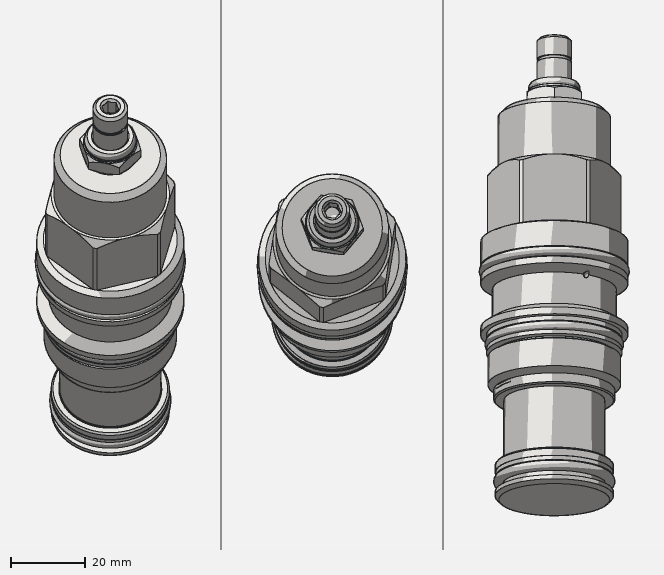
import cadquery as cq
import math


nose_top = 10.1
sleeve_bottom = 27.8
sleeve_top = 40.0
flange_bottom = 46.2
neck_bottom = 50.1
neck_top = 58.9
head_top = 73.1
hex_top = 92.3
cap_top = 109.0
stem_top = 129.4

shank_radius = 13.6
nose_radius = 15.9
nose_chamfer = 1.0
nose_top_chamfer = 0.5
tip_flange_top = 2.2
backup_ring_radius = 15.8
backup_ring_top = 7.6
shank_collar_radius = 13.8
shank_collar_height = 0.4

sleeve_radius = 17.9
sleeve_taper_bottom = 30.7
sleeve_taper_top = 32.2
sleeve_top_radius = 16.7
sleeve_top_taper = 0.5
collar_radius = 16.3
collar_chamfer = 0.4
sleeve_gap_radius = 15.9
sleeve_gap_top = 41.1
notch_width = 7.6
notch_height = 0.9

land_radius = 18.2
flange_radius = 19.8
flange_rim_top = 48.1
neck_radius = 16.7
pin_hole_radius = 0.8
pin_hole_depth = 2.0
pin_hole_z = 58.7
head_rim_bottom = 60.5
head_rim_top = 72.3

hex_flats = 31.7
hex_corner_radius = 18.0
hex_chamfer_radius = 15.9
hex_chamfer_height = 1.5
cap_radius = 15.1
cap_chamfer = 1.7

stem_radius = 4.7
stem_chamfer = 0.8
socket_flats = 4.0
socket_depth = 5.2
socket_mouth_radius = 2.7
drill_point_angle = 118

clip_wire_radius = 0.45
clip_outer_radius = 4.5
clip_center_z = 123.2
clip_gap_y = 2.1

nut_flats = 14.6
nut_lower_chamfer_radius = 7.4
nut_lower_chamfer_height = 0.6
nut_upper_chamfer_radius = 7.2
nut_upper_chamfer_height = 0.9
nut_base_radius = 7.0
nut_hex_bottom = 109.7
nut_hex_top = 114.1
nut_groove_radius = 6.9
nut_groove_height = 0.6
nut_top = 116.8
nut_collar_radius = 7.0
nut_collar_shoulder = 115.2
nut_crown_radius = 6.2
nut_bore_chamfer = 0.4

nose_seal = (16.3, shank_radius, 6.5)
land_seal = (18.6, 16.0, 44.9)
head_seal = (20.2, 17.7, 65.3)
seals = [nose_seal, land_seal, head_seal]

groove_bottoms = [tip_flange_top, 42.3, 62.4]


def turned(points):
    """Solid of revolution about Z from the (radius, z) points of its outer surface, bottom to top."""
    axis_end = (0, points[-1][1])
    axis_start = (0, points[0][1])
    profile = [*points, axis_end] if points[0] == axis_start else [axis_start, *points, axis_end]
    return cq.Workplane("XZ").polyline(profile).close().revolve(360, (0, 0, 0), (0, 1, 0))


def tube(inner_radius, outer_radius, bottom, top):
    return (
        cq.Workplane("XY", origin=(0, 0, bottom))
        .circle(outer_radius)
        .circle(inner_radius)
        .extrude(top - bottom)
    )


def hex_prism(flats, bottom, top, turn=0):
    """Hexagonal prism with corners on the X axis, turned about Z by the given angle."""
    corner_diameter = flats / math.cos(math.pi / 6)
    prism = cq.Workplane("XY", origin=(0, 0, bottom)).polygon(6, corner_diameter).extrude(top - bottom)
    return prism.rotate((0, 0, 0), (0, 0, 1), turn)


def ring(outer_radius, wire_radius, center_z):
    wire_center = outer_radius - wire_radius
    return (
        cq.Workplane("XZ")
        .center(wire_center, center_z)
        .circle(wire_radius)
        .revolve(360, (-wire_center, 0, 0), (-wire_center, 1, 0))
    )


def make_o_ring(seal):
    outer_radius, floor_radius, top = seal
    wire_radius = (outer_radius - floor_radius) / 2
    return ring(outer_radius, wire_radius, top - wire_radius)


def seal_groove(seal, bottom):
    """Groove whose floor and upper wall touch the O-ring."""
    outer_radius, floor_radius, top = seal
    return tube(floor_radius, outer_radius, bottom, top)


def make_nose():
    nose_seal_top = nose_seal[2]
    return turned([
        (nose_radius - nose_chamfer, 0),
        (nose_radius, nose_chamfer),
        (nose_radius, nose_seal_top),
        (backup_ring_radius, nose_seal_top),
        (backup_ring_radius, backup_ring_top),
        (nose_radius, backup_ring_top),
        (nose_radius, nose_top - nose_top_chamfer),
        (nose_radius - nose_top_chamfer, nose_top),
        (shank_collar_radius, nose_top),
        (shank_collar_radius, nose_top + shank_collar_height),
        (shank_radius, nose_top + shank_collar_height),
        (shank_radius, sleeve_bottom),
    ])


def make_sleeve():
    sleeve = turned([
        (collar_radius - collar_chamfer, sleeve_bottom),
        (collar_radius, sleeve_bottom + collar_chamfer),
        (collar_radius, sleeve_taper_bottom),
        (sleeve_radius, sleeve_taper_top),
        (sleeve_radius, sleeve_top),
        (sleeve_top_radius, sleeve_top + sleeve_top_taper),
        (sleeve_gap_radius, sleeve_top + sleeve_top_taper),
        (sleeve_gap_radius, sleeve_gap_top),
    ])
    flat_x = math.sqrt(collar_radius**2 - (notch_width / 2) ** 2)
    notch_start_x = -flat_x - collar_radius
    notch = cq.Workplane("XY", origin=(notch_start_x, 0, sleeve_taper_bottom - notch_height)).box(
        collar_radius, notch_width, notch_height, centered=(False, True, False)
    )
    return sleeve.cut(notch)


def make_flange_and_head():
    body = turned([
        (land_radius, sleeve_gap_top),
        (land_radius, flange_bottom),
        (flange_radius, flange_bottom),
        (flange_radius, flange_rim_top),
        (neck_radius, neck_bottom),
        (neck_radius, neck_top),
        (flange_radius, head_rim_bottom),
        (flange_radius, head_rim_top),
        (hex_corner_radius, head_top),
    ])
    pin_hole = (
        cq.Workplane("XZ", origin=(0, pin_hole_depth - neck_radius, pin_hole_z))
        .circle(pin_hole_radius)
        .extrude(neck_radius)
    )
    return body.cut(pin_hole)


def make_hexagon():
    envelope = turned([
        (hex_corner_radius, head_top),
        (hex_corner_radius, hex_top - hex_chamfer_height),
        (hex_chamfer_radius, hex_top),
    ])
    return hex_prism(hex_flats, head_top, hex_top, turn=30).intersect(envelope)


def make_cap():
    return turned([
        (cap_radius, hex_top),
        (cap_radius, cap_top - cap_chamfer),
        (cap_radius - cap_chamfer, cap_top),
    ])


def make_stem():
    stem = turned([
        (stem_radius, cap_top),
        (stem_radius, stem_top - stem_chamfer),
        (stem_radius - stem_chamfer, stem_top),
    ])
    drill_radius = socket_flats / 2
    socket_bottom = stem_top - socket_depth
    drill_depth = drill_radius / math.tan(math.radians(drill_point_angle / 2))
    drill_point = turned([(0, socket_bottom - drill_depth), (drill_radius, socket_bottom)])
    mouth_depth = socket_mouth_radius - drill_radius
    mouth = turned([(drill_radius, stem_top - mouth_depth), (socket_mouth_radius, stem_top)])
    stem = stem.cut(hex_prism(socket_flats, socket_bottom, stem_top)).cut(drill_point).cut(mouth)
    clip_groove = tube(
        clip_outer_radius - 2 * clip_wire_radius,
        stem_radius + clip_wire_radius,
        clip_center_z - clip_wire_radius,
        clip_center_z + clip_wire_radius,
    )
    return stem.cut(clip_groove)


def make_cartridge():
    cartridge = make_nose()
    for section in [make_sleeve(), make_flange_and_head(), make_hexagon(), make_cap(), make_stem()]:
        cartridge = cartridge.union(section)
    for seal, bottom in zip(seals, groove_bottoms):
        cartridge = cartridge.cut(seal_groove(seal, bottom))
    return cartridge


def make_retaining_ring():
    """Round-wire ring, open on the +Y side."""
    closed_ring = ring(clip_outer_radius, clip_wire_radius, clip_center_z)
    opening = cq.Workplane("XY", origin=(0, clip_gap_y, clip_center_z)).box(
        2 * clip_outer_radius, clip_outer_radius, 4 * clip_wire_radius, centered=(True, False, True)
    )
    return closed_ring.cut(opening)


def make_lock_nut():
    nut_corner_radius = nut_flats / 2 / math.cos(math.pi / 6)
    envelope = turned([
        (nut_lower_chamfer_radius, nut_hex_bottom),
        (nut_corner_radius, nut_hex_bottom + nut_lower_chamfer_height),
        (nut_corner_radius, nut_hex_top - nut_upper_chamfer_height),
        (nut_upper_chamfer_radius, nut_hex_top),
    ])
    hexagon = hex_prism(nut_flats, nut_hex_bottom, nut_hex_top).intersect(envelope)
    collar_bottom = nut_hex_top + nut_groove_height
    base = turned([(nut_base_radius, cap_top), (nut_base_radius, nut_hex_bottom)])
    groove_core = turned([(nut_groove_radius, nut_hex_top), (nut_groove_radius, collar_bottom)])
    collar = (
        cq.Workplane("XZ")
        .moveTo(0, collar_bottom)
        .lineTo(nut_collar_radius, collar_bottom)
        .lineTo(nut_collar_radius, nut_collar_shoulder)
        .tangentArcPoint((nut_crown_radius, nut_top), relative=False)
        .lineTo(0, nut_top)
        .close()
        .revolve(360, (0, 0, 0), (0, 1, 0))
    )
    bore = turned([
        (stem_radius, cap_top),
        (stem_radius, nut_top - nut_bore_chamfer),
        (stem_radius + nut_bore_chamfer, nut_top),
    ])
    return hexagon.union(base).union(groove_core).union(collar).cut(bore)


cartridge = make_cartridge()
lock_nut = make_lock_nut()
retaining_ring = make_retaining_ring()
o_rings = [make_o_ring(seal).val() for seal in seals]

result = cq.Compound.makeCompound([cartridge.val(), lock_nut.val(), retaining_ring.val(), *o_rings])